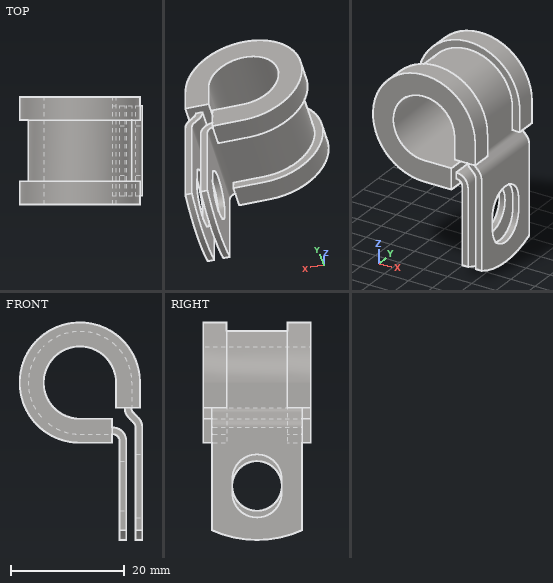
import cadquery as cq
import math

bore_radius = 6.35
strap_thickness = 1.22
strap_width = 15.88
cushion_cover = 1.52
groove_width = 10.72
upper_end_drop = 4.44
lower_end_reach = 5.69

lower_bend_inner_radius = 1.17
jog_inner_radius = 1.27
jog_angle = math.radians(45)
lower_tab_outer_x = 8.18
upper_tab_outer_x = 11.0
tab_bottom_z = -27.7
tab_tip_radius = 19.05
hole_diameter = 8.7
slot_length = 11.1
hole_height = 9.525

strap_inner_radius = bore_radius + cushion_cover
strap_outer_radius = strap_inner_radius + strap_thickness
cushion_outer_radius = strap_outer_radius + cushion_cover
cushion_width = strap_width + 2 * cushion_cover
jog_outer_radius = jog_inner_radius + strap_thickness
hole_z = tab_bottom_z + hole_height
tab_half_width = strap_width / 2


def extrude_across(profile, width):
    """Extrude an XZ profile to the given width, centred on Y = 0."""
    return profile.extrude(width / 2, both=True)


def loop_band(inner_radius, outer_radius, width):
    """Three-quarter ring with a straight run at each end."""
    diagonal = math.sqrt(0.5)
    profile = (
        cq.Workplane("XZ")
        .moveTo(outer_radius, -upper_end_drop)
        .lineTo(outer_radius, 0)
        .threePointArc((-outer_radius * diagonal, outer_radius * diagonal), (0, -outer_radius))
        .lineTo(lower_end_reach, -outer_radius)
        .lineTo(lower_end_reach, -inner_radius)
        .lineTo(0, -inner_radius)
        .threePointArc((-inner_radius * diagonal, inner_radius * diagonal), (inner_radius, 0))
        .lineTo(inner_radius, -upper_end_drop)
        .close()
    )
    return extrude_across(profile, width)


def arc_point(center, radius, angle):
    """Point on a circle at an angle measured from +X toward +Z."""
    return (center[0] + radius * math.cos(angle), center[1] + radius * math.sin(angle))


def make_cushioned_loop():
    """Cushion ring, grooved around its outside down to the strap."""
    loop = loop_band(bore_radius, cushion_outer_radius, cushion_width)
    groove = loop_band(strap_outer_radius, cushion_outer_radius, groove_width)
    return loop.cut(groove)


def make_lower_leg():
    """Strap leg that leaves the lower end and turns 90 degrees down."""
    outer_radius = lower_bend_inner_radius + strap_thickness
    center = (lower_tab_outer_x - outer_radius, -strap_inner_radius - outer_radius)
    tab_inner_x = lower_tab_outer_x - strap_thickness
    middle_angle = math.radians(45)
    profile = (
        cq.Workplane("XZ")
        .moveTo(lower_end_reach, -strap_inner_radius)
        .lineTo(center[0], -strap_inner_radius)
        .threePointArc(
            arc_point(center, outer_radius, middle_angle),
            (lower_tab_outer_x, center[1]),
        )
        .lineTo(lower_tab_outer_x, tab_bottom_z)
        .lineTo(tab_inner_x, tab_bottom_z)
        .lineTo(tab_inner_x, center[1])
        .threePointArc(
            arc_point(center, lower_bend_inner_radius, middle_angle),
            (center[0], -strap_outer_radius),
        )
        .lineTo(lower_end_reach, -strap_outer_radius)
        .close()
    )
    return extrude_across(profile, strap_width)


def make_upper_leg():
    """Strap leg that leaves the upper end and jogs outward before running down."""
    bend_sum = jog_inner_radius + jog_outer_radius
    jog_offset = upper_tab_outer_x - strap_outer_radius
    slope_offset = jog_offset - bend_sum * (1 - math.cos(jog_angle))
    slope_drop = slope_offset / math.tan(jog_angle)
    jog_drop = bend_sum * math.sin(jog_angle) + slope_drop

    top_center = (strap_outer_radius + jog_inner_radius, -upper_end_drop)
    low_center = (upper_tab_outer_x - jog_outer_radius, -upper_end_drop - jog_drop)
    tab_inner_x = upper_tab_outer_x - strap_thickness
    top_end = math.pi + jog_angle
    top_middle = math.pi + jog_angle / 2
    profile = (
        cq.Workplane("XZ")
        .moveTo(strap_outer_radius, -upper_end_drop)
        .threePointArc(
            arc_point(top_center, jog_inner_radius, top_middle),
            arc_point(top_center, jog_inner_radius, top_end),
        )
        .lineTo(*arc_point(low_center, jog_outer_radius, jog_angle))
        .threePointArc(
            arc_point(low_center, jog_outer_radius, jog_angle / 2),
            (upper_tab_outer_x, low_center[1]),
        )
        .lineTo(upper_tab_outer_x, tab_bottom_z)
        .lineTo(tab_inner_x, tab_bottom_z)
        .lineTo(tab_inner_x, low_center[1])
        .threePointArc(
            arc_point(low_center, jog_inner_radius, jog_angle / 2),
            arc_point(low_center, jog_inner_radius, jog_angle),
        )
        .lineTo(*arc_point(top_center, jog_outer_radius, top_end))
        .threePointArc(
            arc_point(top_center, jog_outer_radius, top_middle),
            (strap_inner_radius, -upper_end_drop),
        )
        .close()
    )
    return extrude_across(profile, strap_width)


def make_tab_outline():
    """Prism along X bounded by the tab sides and the curved tip."""
    tip_rise = tab_tip_radius - math.sqrt(tab_tip_radius**2 - tab_half_width**2)
    corner_z = tab_bottom_z + tip_rise
    return (
        cq.Workplane("YZ")
        .moveTo(-tab_half_width, 0)
        .lineTo(-tab_half_width, corner_z)
        .threePointArc((0, tab_bottom_z), (tab_half_width, corner_z))
        .lineTo(tab_half_width, 0)
        .close()
        .extrude(upper_tab_outer_x)
    )


def make_bolt_hole():
    """Round cutter along X for the lower leg's tab."""
    return cq.Workplane("YZ").center(0, hole_z).circle(hole_diameter / 2).extrude(upper_tab_outer_x)


def make_bolt_slot():
    """Vertical slot cutter along X for the upper leg's tab."""
    slot = cq.Workplane("YZ").center(0, hole_z).slot2D(slot_length, hole_diameter, 90)
    return slot.extrude(upper_tab_outer_x)


tab_outline = make_tab_outline()
lower_leg = make_lower_leg().intersect(tab_outline).cut(make_bolt_hole())
upper_leg = make_upper_leg().intersect(tab_outline).cut(make_bolt_slot())
result = make_cushioned_loop().union(lower_leg).union(upper_leg)